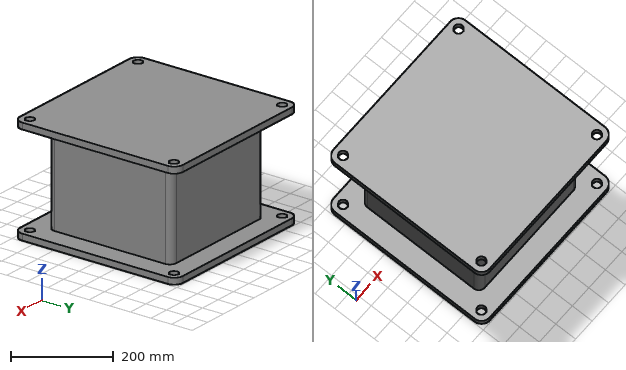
import cadquery as cq

plate_side = 395.0
total_height = 250.0

plate_thickness = 15.0
plate_corner_radius = 21.0
hole_diameter = 20.0
hole_spacing = 350.0

block_side = 299.0
block_corner_radius = 15.0
block_height = total_height - 2 * plate_thickness


def rounded_square_prism(side, height, corner_radius, base_z):
    """Square prism centred on the Z axis with rounded vertical edges."""
    return (
        cq.Workplane("XY", origin=(0, 0, base_z))
        .rect(side, side)
        .extrude(height)
        .edges("|Z")
        .fillet(corner_radius)
    )


def end_plate(base_z):
    """Rounded square plate with a through hole near each corner."""
    plate = rounded_square_prism(plate_side, plate_thickness, plate_corner_radius, base_z)
    return (
        plate.faces(">Z")
        .workplane(origin=(0, 0, 0))
        .rect(hole_spacing, hole_spacing, forConstruction=True)
        .vertices()
        .hole(hole_diameter)
    )


plate_base_heights = [0, total_height - plate_thickness]
plates = [end_plate(base_z).val() for base_z in plate_base_heights]
block = rounded_square_prism(block_side, block_height, block_corner_radius, plate_thickness)

result = cq.Compound.makeCompound([block.val(), *plates])